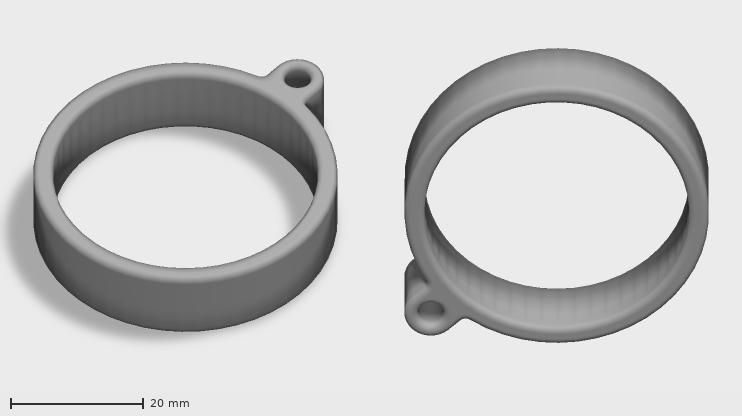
import cadquery as cq
import math

ring_outer_diameter = 46.0
ring_inner_diameter = 40.0
overall_length = 53.0
height = 12.0
eyelet_hole_diameter = 4.0
eyelet_diameter = 8.0
corner_radius = 1.0

eyelet_radius = eyelet_diameter / 2
ring_outer_radius = ring_outer_diameter / 2
eyelet_tip_y = overall_length - ring_outer_radius
eyelet_center_y = eyelet_tip_y - eyelet_radius
eyelet_wall = eyelet_radius - eyelet_hole_diameter / 2
edge_radius = eyelet_wall / 2


def make_blank():
    """Solid disc with a round-ended neck, joined by concave corners."""
    disc = cq.Workplane("XY").circle(ring_outer_radius).extrude(height)
    neck = (
        cq.Workplane("XY")
        .moveTo(-eyelet_radius, 0)
        .lineTo(-eyelet_radius, eyelet_center_y)
        .threePointArc((0, eyelet_tip_y), (eyelet_radius, eyelet_center_y))
        .lineTo(eyelet_radius, 0)
        .close()
        .extrude(height)
    )
    neck_foot_y = math.sqrt(ring_outer_radius**2 - eyelet_radius**2)
    foot_edges = cq.selectors.BoxSelector(
        (-eyelet_radius - edge_radius, neck_foot_y - edge_radius, 0),
        (eyelet_radius + edge_radius, neck_foot_y + edge_radius, height),
    )
    return disc.union(neck).edges("|Z").edges(foot_edges).fillet(corner_radius)


def make_hole_cutter():
    """Eyelet hole whose two mouths flare out in a quarter round."""
    hole_radius = eyelet_hole_diameter / 2
    flare_radius = hole_radius + edge_radius
    arc_inset = edge_radius * (1 - math.sqrt(0.5))
    profile = (
        cq.Workplane("XZ")
        .lineTo(flare_radius, 0)
        .threePointArc((hole_radius + arc_inset, arc_inset), (hole_radius, edge_radius))
        .lineTo(hole_radius, height - edge_radius)
        .threePointArc((hole_radius + arc_inset, height - arc_inset), (flare_radius, height))
        .lineTo(0, height)
        .close()
    )
    return profile.revolve(360, (0, 0, 0), (0, 1, 0)).translate((0, eyelet_center_y, 0))


def make_ring():
    """Bored ring with rounded rims and a flared eyelet hole."""
    bore = cq.Workplane("XY").circle(ring_inner_diameter / 2).extrude(height)
    ring = make_blank().cut(bore)
    ring = ring.faces("<Z or >Z").edges().fillet(edge_radius)
    return ring.cut(make_hole_cutter())


ring = make_ring()
result = cq.Compound.makeCompound([ring.val()])